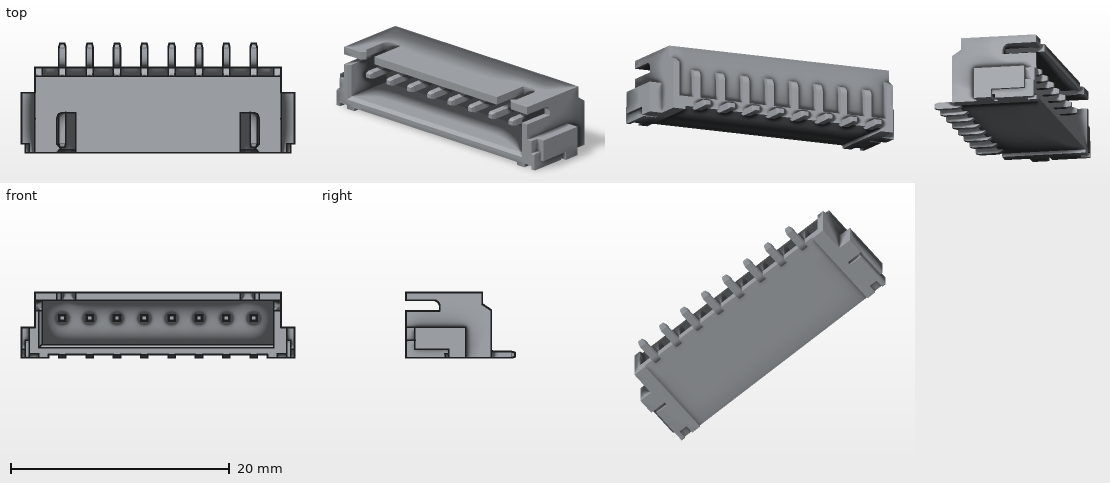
import cadquery as cq

HOUSING_LENGTH = 22.5
HEIGHT = 6.0
FRONT_Y = -5.0
BACK_Y = 2.82
ROOF_BACK_Y = 2.0
END_WALL = 0.65
FLOOR_TOP = 1.22
STANDOFF = 0.3
FOOT_WIDTH = 1.25
ROOF_UNDERSIDE = 5.28
SLOPE_LOW_Z = 4.38
SLOPE_HIGH_Z = 4.92
HALF_LENGTH = HOUSING_LENGTH / 2
INNER_HALF = HALF_LENGTH - END_WALL

CAVITY_BACK_Y = 0.1
LEAD_IN = 0.3

WINDOW_BOTTOM = 4.3
WINDOW_BACK_Y = -1.9

SLOT_OUTER_X = 9.25
SLOT_INNER_X = 7.52
SLOT_BACK_Y = -1.32
NUB_DEPTH = 0.4
CORNER_RADIUS = 0.6

TOTAL_LENGTH = 25.0
EAR_TOP = 2.8
EAR_BACK_Y = 0.5
EAR_STEP_Y = -4.18
EAR_NOTCH_TOP = 0.78
TAB_THICKNESS = 0.38
TAB_INNER_X = 11.78
TAB_OUTER_X = TAB_INNER_X + TAB_THICKNESS
TAB_BACK_Y = -1.08
TAB_TOP = 1.6
TAB_EDGE_RADIUS = 0.1
TAB_FOOT_INNER_X = 10.9
TAB_FOOT_BACK_Y = -1.4
TAB_FOOT_FRONT_Y = EAR_STEP_Y
HALF_TOTAL = TOTAL_LENGTH / 2

PIN_COUNT = 8
PIN_PITCH = 2.5
PIN_WIDTH = 0.65
PIN_THICKNESS = 0.6
PIN_TOP = 3.95
PIN_FRONT_Y = -4.5
TAIL_END_Y = 5.0
TIP_LENGTH = 0.38
TIP_TAPER = 0.1
LEG_BACK_Y = 2.78
INNER_BEND = 0.25
OUTER_BEND = INNER_BEND + PIN_THICKNESS


def block(x0, x1, y0, y1, z0, z1):
    """Box between two opposite corners."""
    solid = cq.Workplane("XY").box(x1 - x0, y1 - y0, z1 - z0, centered=False)
    return solid.translate((x0, y0, z0))


def both_ends(shape):
    """The shape together with its mirror image at the other end."""
    return shape.union(shape.mirror("YZ"))


def housing_shell():
    """Side outline along the whole length, with the rear recess and the standoff gap cut out."""
    shell = (
        cq.Workplane("YZ")
        .polyline([
            (FRONT_Y, 0), (BACK_Y, 0), (BACK_Y, SLOPE_LOW_Z),
            (ROOF_BACK_Y, SLOPE_HIGH_Z), (ROOF_BACK_Y, HEIGHT), (FRONT_Y, HEIGHT),
        ])
        .close()
        .extrude(HALF_LENGTH, both=True)
    )
    rear_recess = block(-INNER_HALF, INNER_HALF, ROOF_BACK_Y, BACK_Y, FLOOR_TOP, HEIGHT)
    gap_half = HALF_LENGTH - FOOT_WIDTH
    standoff_gap = block(-gap_half, gap_half, FRONT_Y, BACK_Y, 0, STANDOFF)
    return shell.cut(rear_recess).cut(standoff_gap)


def mating_cavity():
    """Front cavity, with its lead-in bevel along the floor and the left wall."""
    cavity = block(-INNER_HALF, INNER_HALF, FRONT_Y, CAVITY_BACK_Y, FLOOR_TOP, ROOF_UNDERSIDE)
    bevel_end_y = FRONT_Y + LEAD_IN
    mouth_left = -INNER_HALF - LEAD_IN
    mouth_bottom = FLOOR_TOP - LEAD_IN
    floor_bevel = (
        cq.Workplane("YZ", origin=(mouth_left, 0, 0))
        .polyline([(FRONT_Y, FLOOR_TOP), (FRONT_Y, mouth_bottom), (bevel_end_y, FLOOR_TOP)])
        .close()
        .extrude(INNER_HALF - mouth_left)
    )
    wall_bevel = (
        cq.Workplane("XY", origin=(0, 0, mouth_bottom))
        .polyline([(-INNER_HALF, FRONT_Y), (mouth_left, FRONT_Y), (-INNER_HALF, bevel_end_y)])
        .close()
        .extrude(WINDOW_BOTTOM - mouth_bottom)
    )
    corner = block(mouth_left, -INNER_HALF, FRONT_Y, bevel_end_y, mouth_bottom, FLOOR_TOP)
    mitred_corner = floor_bevel.intersect(wall_bevel)
    bevels = floor_bevel.union(wall_bevel).cut(corner).union(mitred_corner)
    return cavity.union(bevels)


def end_windows():
    """Window through both end walls, rounded at its upper rear corner."""
    window = block(-HALF_LENGTH, HALF_LENGTH, FRONT_Y, WINDOW_BACK_Y, WINDOW_BOTTOM, ROOF_UNDERSIDE)
    return window.edges("|X and >Y and >Z").fillet(CORNER_RADIUS)


def latch_slot():
    """Left latch slot of the roof, narrowed by the triangular catch at its mouth."""
    arc_start = (-SLOT_OUTER_X + CORNER_RADIUS, SLOT_BACK_Y)
    arc_end = (-SLOT_OUTER_X, SLOT_BACK_Y - CORNER_RADIUS)
    nub_tip = (-SLOT_OUTER_X + NUB_DEPTH, FRONT_Y + NUB_DEPTH)
    return (
        cq.Workplane("XY", origin=(0, 0, ROOF_UNDERSIDE))
        .moveTo(-SLOT_INNER_X, FRONT_Y)
        .lineTo(-SLOT_INNER_X, SLOT_BACK_Y)
        .lineTo(*arc_start)
        .radiusArc(arc_end, -CORNER_RADIUS)
        .lineTo(-SLOT_OUTER_X, FRONT_Y + 2 * NUB_DEPTH)
        .lineTo(*nub_tip)
        .lineTo(-SLOT_OUTER_X, FRONT_Y)
        .close()
        .extrude(HEIGHT - ROOF_UNDERSIDE)
    )


def left_ear():
    """Left ear: a stepped block with a notch under its outer part."""
    inner = block(-TAB_INNER_X, -HALF_LENGTH, FRONT_Y, EAR_BACK_Y, 0, EAR_TOP)
    outer = block(-HALF_TOTAL, -TAB_INNER_X, EAR_STEP_Y, EAR_BACK_Y, 0, EAR_TOP)
    notch = block(-HALF_TOTAL, -TAB_OUTER_X, EAR_STEP_Y, TAB_BACK_Y, 0, EAR_NOTCH_TOP)
    return inner.union(outer).cut(notch)


def left_tab_pocket():
    """Room in the left ear and foot for the solder tab."""
    upright = block(-TAB_OUTER_X, -TAB_INNER_X, FRONT_Y, TAB_BACK_Y, 0, TAB_TOP)
    foot = block(-TAB_INNER_X, -TAB_FOOT_INNER_X, FRONT_Y, TAB_BACK_Y, 0, TAB_THICKNESS)
    return upright.union(foot)


def left_solder_tab():
    """L-shaped sheet: an upright with rounded front edges and a foot turned inward."""
    upright = block(-TAB_OUTER_X, -TAB_INNER_X, FRONT_Y, TAB_BACK_Y, 0, TAB_TOP)
    upright = upright.edges("|X and <Y").fillet(TAB_EDGE_RADIUS)
    relief = block(-TAB_OUTER_X, -TAB_INNER_X, TAB_FOOT_BACK_Y, TAB_BACK_Y, 0, TAB_THICKNESS)
    foot = block(
        -TAB_INNER_X, -TAB_FOOT_INNER_X, TAB_FOOT_FRONT_Y, TAB_FOOT_BACK_Y, 0, TAB_THICKNESS
    )
    return upright.cut(relief).union(foot)


def pin_tip(base_y, center_z, direction):
    """Tapered end of a pin, pointing to -Y (direction -1) or +Y (direction 1)."""
    return (
        cq.Workplane("XZ", origin=(0, base_y, center_z))
        .rect(PIN_WIDTH, PIN_THICKNESS)
        .workplane(offset=-direction * TIP_LENGTH)
        .rect(PIN_WIDTH - 2 * TIP_TAPER, PIN_THICKNESS - 2 * TIP_TAPER)
        .loft(ruled=True)
    )


def contact_pin():
    """Pin at X = 0: straight contact, leg down the back of the housing, tail at board level."""
    contact_start_y = PIN_FRONT_Y + TIP_LENGTH
    tail_stop_y = TAIL_END_Y - TIP_LENGTH
    pin_bottom = PIN_TOP - PIN_THICKNESS
    leg_front_y = LEG_BACK_Y - PIN_THICKNESS
    upper_bend_z = PIN_TOP - OUTER_BEND
    lower_bend_y = LEG_BACK_Y + INNER_BEND
    shaft = (
        cq.Workplane("YZ")
        .moveTo(contact_start_y, PIN_TOP)
        .lineTo(LEG_BACK_Y - OUTER_BEND, PIN_TOP)
        .radiusArc((LEG_BACK_Y, upper_bend_z), OUTER_BEND)
        .lineTo(LEG_BACK_Y, OUTER_BEND)
        .radiusArc((lower_bend_y, PIN_THICKNESS), -INNER_BEND)
        .lineTo(tail_stop_y, PIN_THICKNESS)
        .lineTo(tail_stop_y, 0)
        .lineTo(lower_bend_y, 0)
        .radiusArc((leg_front_y, OUTER_BEND), OUTER_BEND)
        .lineTo(leg_front_y, upper_bend_z)
        .radiusArc((leg_front_y - INNER_BEND, pin_bottom), -INNER_BEND)
        .lineTo(contact_start_y, pin_bottom)
        .close()
        .extrude(PIN_WIDTH / 2, both=True)
    )
    contact_tip = pin_tip(contact_start_y, PIN_TOP - PIN_THICKNESS / 2, -1)
    tail_tip = pin_tip(tail_stop_y, PIN_THICKNESS / 2, 1)
    return shaft.union(contact_tip).union(tail_tip)


def build_housing():
    """Housing with its ears and with the row of pins moulded in as one solid."""
    body = housing_shell().union(both_ends(left_ear()))
    body = body.cut(mating_cavity())
    body = body.cut(end_windows())
    body = body.cut(both_ends(latch_slot()))
    body = body.cut(both_ends(left_tab_pocket()))
    pin = contact_pin()
    for index in range(PIN_COUNT):
        pin_x = (index - (PIN_COUNT - 1) / 2) * PIN_PITCH
        body = body.union(pin.translate((pin_x, 0, 0)))
    return body


housing = build_housing()
left_tab = left_solder_tab()
right_tab = left_tab.mirror("YZ")

result = cq.Compound.makeCompound([
    housing.solids().val(),
    left_tab.solids().val(),
    right_tab.solids().val(),
])